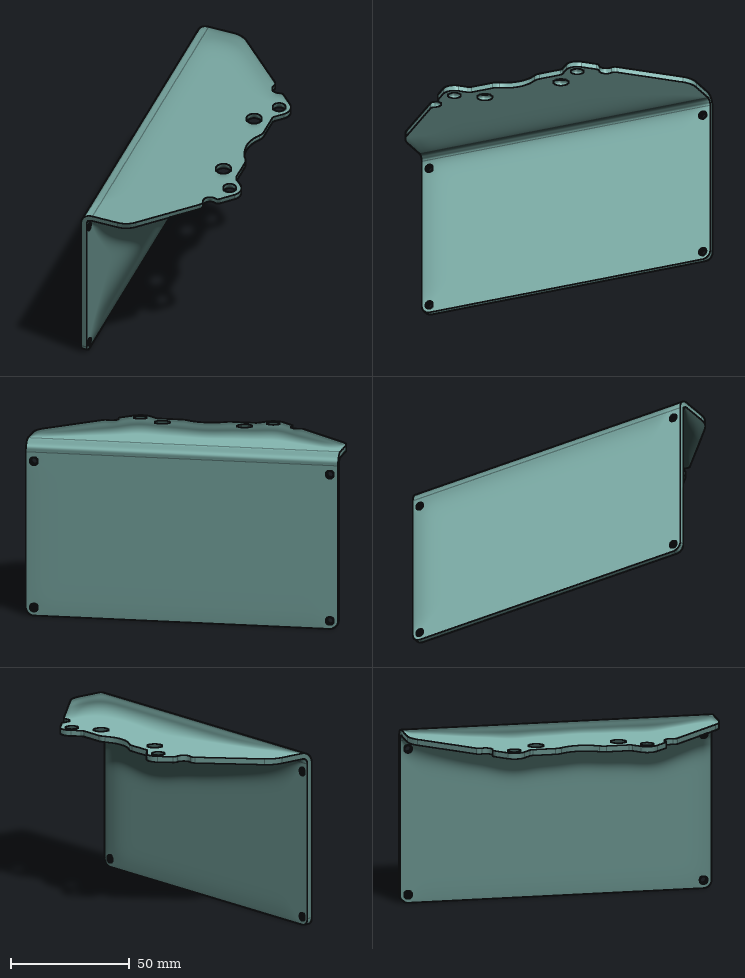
import math

import cadquery as cq

width = 134.0
height = 75.5
thickness = 2.5
bend_inner_radius = 2.5
bend_outer_radius = bend_inner_radius + thickness

wall_corner_radius = 3.5
wall_hole_edge_offset = 3.5
wall_hole_top_offset = 9.0
thread_major_diameter = 3.5
thread_minor_diameter = 2.85
thread_turns = 4

ear_radius = 5.0
ear_x = 51.98
ear_y = 28.52
ear_hole_diameter = 5.5
shelf_reach = ear_x + ear_radius

inner_hole_x = 44.97
inner_hole_y = 17.68
inner_hole_diameter = 6.5

bevel_angle = math.radians(45)
bevel_corner_radius = 10.0
edge_x = ear_x
ear_root_radius = 2.0
notch_x = 47.6
notch_radius = 3.0
notch_mouth_radius = 2.0
recess_radius = 14.0
recess_bottom_x = 48.5
recess_mouth_radius = 5.0

bevel_sum = ear_x + ear_y + ear_radius * math.sqrt(2)
flank_difference = ear_x - ear_y + ear_radius * math.sqrt(2)


def bent_sheet():
    """L-shaped sheet with a rounded bend, extruded over the full width."""
    return (
        cq.Workplane("XZ")
        .lineTo(thickness, 0)
        .lineTo(thickness, height - bend_outer_radius)
        .radiusArc((bend_outer_radius, height - thickness), bend_inner_radius)
        .lineTo(shelf_reach, height - thickness)
        .lineTo(shelf_reach, height)
        .lineTo(bend_outer_radius, height)
        .radiusArc((0, height - bend_outer_radius), -bend_outer_radius)
        .close()
        .extrude(width / 2, both=True)
    )


def half_shelf_path():
    """Segments of the shelf edge for Y > 0, from the middle of the recess outwards.

    Each entry is the end of a segment, with the middle of the arc if the segment is round.
    """
    recess_x = recess_bottom_x + recess_radius
    mouth_x = edge_x - recess_mouth_radius
    centre_distance = recess_radius + recess_mouth_radius
    recess_angle = math.acos((recess_x - mouth_x) / centre_distance)
    mouth_y = centre_distance * math.sin(recess_angle)

    def on_recess(angle):
        return (recess_x - recess_radius * math.cos(angle), recess_radius * math.sin(angle))

    def on_mouth(angle):
        return (
            mouth_x + recess_mouth_radius * math.cos(angle),
            mouth_y - recess_mouth_radius * math.sin(angle),
        )

    root_y = edge_x - flank_difference
    root_trim = ear_root_radius * math.tan(bevel_angle / 2)
    root_x = edge_x + ear_root_radius
    root_centre_y = root_y - root_trim

    def on_root(angle):
        return (
            root_x - ear_root_radius * math.cos(angle),
            root_centre_y + ear_root_radius * math.sin(angle),
        )

    ear_offset = ear_radius / math.sqrt(2)
    return [
        (on_recess(recess_angle), on_recess(recess_angle / 2)),
        (on_mouth(0), on_mouth(recess_angle / 2)),
        (on_root(0), None),
        (on_root(bevel_angle), on_root(bevel_angle / 2)),
        ((ear_x + ear_offset, ear_y - ear_offset), None),
        ((ear_x + ear_offset, ear_y + ear_offset), (ear_x + ear_radius, ear_y)),
    ] + notch_path() + bevel_corner_path()


def notch_path():
    """Round notch centred on the bevel line, blended into the bevel on both sides."""
    notch_y = bevel_sum - notch_x
    reach = math.sqrt((notch_radius + notch_mouth_radius) ** 2 - notch_mouth_radius**2)
    blend_angle = math.asin(notch_mouth_radius / (notch_radius + notch_mouth_radius))

    def on_bevel(along, depth):
        """Point at a distance along the bevel (towards -X, +Y) and a depth into the sheet."""
        return (
            notch_x - (along + depth) / math.sqrt(2),
            notch_y + (along - depth) / math.sqrt(2),
        )

    def blend_middle(side):
        angle = (math.pi / 2 - blend_angle) / 2
        return on_bevel(
            side * (reach - notch_mouth_radius * math.sin(angle)),
            notch_mouth_radius * (1 - math.cos(angle)),
        )

    def blend_end(side):
        return on_bevel(
            side * notch_radius * math.cos(blend_angle),
            notch_radius * math.sin(blend_angle),
        )

    return [
        (on_bevel(-reach, 0), None),
        (blend_end(-1), blend_middle(-1)),
        (blend_end(1), on_bevel(0, notch_radius)),
        (on_bevel(reach, 0), blend_middle(1)),
    ]


def bevel_corner_path():
    """Rounded corner between the bevel and the side of the sheet."""
    trim = bevel_corner_radius * math.tan(bevel_angle / 2)
    side_x = bevel_sum - width / 2 - trim
    centre_y = width / 2 - bevel_corner_radius

    def on_corner(angle):
        return (
            side_x + bevel_corner_radius * math.sin(angle),
            centre_y + bevel_corner_radius * math.cos(angle),
        )

    return [
        (on_corner(bevel_angle), None),
        (on_corner(0), on_corner(bevel_angle / 2)),
    ]


def shelf_outline_half(side):
    """Full-height block with the outline of one half of the sheet, on the given side of Y = 0."""
    outline = cq.Workplane("XY").moveTo(recess_bottom_x, 0)
    for end, middle in half_shelf_path():
        end = (end[0], side * end[1])
        if middle is None:
            outline = outline.lineTo(*end)
        else:
            outline = outline.threePointArc((middle[0], side * middle[1]), end)
    return outline.lineTo(0, side * width / 2).lineTo(0, 0).close().extrude(height)


def shelf_holes():
    """Cutters for the ear holes and the inner pair of holes."""
    cutters = cq.Workplane("XY")
    for x, y, diameter in (
        (ear_x, ear_y, ear_hole_diameter),
        (inner_hole_x, inner_hole_y, inner_hole_diameter),
    ):
        for side in (-1, 1):
            cutters = cutters.union(
                cq.Workplane("XY").center(x, side * y).circle(diameter / 2).extrude(height)
            )
    return cutters


def wall_holes():
    """Threaded through holes near the wall corners, with the thread turns as ring grooves."""
    hole_y = width / 2 - wall_hole_edge_offset
    hole_places = [
        (side * hole_y, z)
        for side in (-1, 1)
        for z in (wall_hole_edge_offset, height - wall_hole_top_offset)
    ]
    pitch = thickness / thread_turns
    drill = cq.Workplane("XY").lineTo(thread_major_diameter / 2, 0)
    for turn in range(thread_turns):
        drill = drill.lineTo(thread_minor_diameter / 2, (turn + 0.5) * pitch)
        drill = drill.lineTo(thread_major_diameter / 2, (turn + 1) * pitch)
    drill = (
        drill.lineTo(0, thickness)
        .close()
        .revolve(360, (0, 0), (0, 1))
        .rotate((0, 0, 0), (0, 0, 1), -90)
    )
    cutters = cq.Workplane("XY")
    for y, z in hole_places:
        cutters = cutters.union(drill.translate((0, y, z)))
    return cutters


sheet = bent_sheet().edges("|X").edges("<Z").fillet(wall_corner_radius)
outline = shelf_outline_half(1).union(shelf_outline_half(-1))
result = sheet.intersect(outline).cut(shelf_holes()).cut(wall_holes())